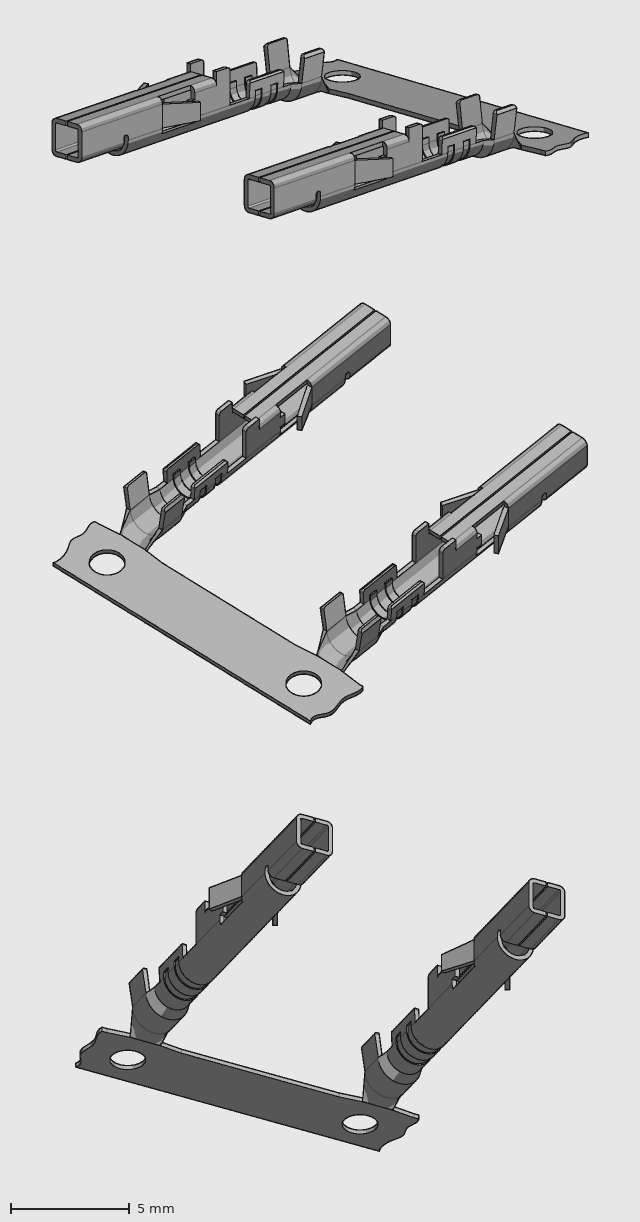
import cadquery as cq
import math

LENGTH = 18.6
SHEET = 0.2
PITCH = 11.0

STRIP_WIDTH = 3.01
PILOT_DIAMETER = 1.5
NECK_HALF_WIDTH = 0.73
SHOULDER_HALF_WIDTH = 1.77
SHOULDER_RISE = 0.11
STRIP_FRONT = LENGTH - STRIP_WIDTH
NECK_Y = STRIP_FRONT - SHOULDER_RISE
NECK_HALF_ANGLE = 4.0

LEFT_END = [
    (1.99, 0.0), (2.03, 0.28), (1.97, 0.54), (1.85, 1.02), (1.9, 1.47),
    (1.97, 1.85), (1.92, 2.18), (1.73, 2.45), (1.7, STRIP_WIDTH),
]
RIGHT_END = [
    (1.7, STRIP_WIDTH), (1.64, 2.45), (1.85, 1.88), (2.0, 1.49),
    (1.9, 0.85), (2.05, 0.22), (2.0, 0.0),
]

INSULATION_REAR = 14.71
INSULATION_FRONT = 13.48
INSULATION_RADIUS = 1.0
INSULATION_TOP = 2.29
INSULATION_FLARE = 0.17
INSULATION_BEVEL = 0.15

TROUGH_REAR = 12.98
TROUGH_FRONT = 2.88
TROUGH_RADIUS = 0.85
TROUGH_BASE = 0.2
TROUGH_AXIS_Z = TROUGH_BASE + TROUGH_RADIUS

WIRE_REAR = 12.52
WIRE_FRONT = 10.4
WIRE_TOP = 1.82
WIRE_FLARE = 0.04
WIRE_BEVEL = 0.07
WING_CORNER = 0.13
SERRATION_WIDTH = 0.4
SERRATION_PITCH = 0.97
SERRATION_DEPTH = 0.05
SERRATION_TOP = 1.32

BOX_REAR = 9.2
ROOF_REAR = 8.37
BOX_HALF_WIDTH = TROUGH_RADIUS
BOX_TOP = 2.42
BOX_FLOOR = 0.73
BOX_CORNER = 0.28
BOX_INNER_CORNER = BOX_CORNER - SHEET
SEAM_WIDTH = 0.07
EAR_TOP = 2.75
EAR_CORNER = 0.17
RELIEF_WIDTH = 0.28
RELIEF_TOP = 1.32
TIP_LENGTH = TROUGH_FRONT - RELIEF_WIDTH

WINDOW_REAR = 7.01
WINDOW_FRONT = 5.02
WINDOW_BOTTOM = 0.82
WINDOW_INNER_X = 0.6
STOP_LENGTH = 0.28
STOP_BOTTOM = 1.28
STOP_TOP = 1.85
TINE_BOTTOM = 1.08
TINE_TOP = 2.14
TINE_RUN = 1.5
TINE_SPREAD = 0.76
TINE_TAPER = 0.13


def box(x0, x1, y0, y1, z0, z1):
    return cq.Workplane("XY").box(x1 - x0, y1 - y0, z1 - z0, centered=False).translate((x0, y0, z0))


def section_plane(y):
    """Cross-section plane at y, with local X along X and local Y along Z."""
    return cq.Workplane(cq.Plane((0, y, 0), xDir=(1, 0, 0), normal=(0, -1, 0)))


def both_sides(half):
    """The given solid together with its mirror image across X = 0."""
    return half.union(half.mirror("YZ"))


def trough_outline(plane, base, radius, half_angle=90.0, sheet=SHEET):
    """Bent-sheet arc section, open at the top, with its lowest point at z = base."""
    inner = radius - sheet
    axis_z = base + radius
    sine = math.sin(math.radians(half_angle))
    cosine = math.cos(math.radians(half_angle))
    return (
        plane.moveTo(-radius * sine, axis_z - radius * cosine)
        .threePointArc((0, base), (radius * sine, axis_z - radius * cosine))
        .lineTo(inner * sine, axis_z - inner * cosine)
        .threePointArc((0, base + sheet), (-inner * sine, axis_z - inner * cosine))
        .close()
    )


def straight_trough(rear, front, base, radius, sheet=SHEET):
    return trough_outline(section_plane(rear), base, radius, sheet=sheet).extrude(rear - front)


def tapered_trough(rear, front, rear_shape, front_shape):
    rear_wire = trough_outline(section_plane(rear), *rear_shape).wire().val()
    front_wire = trough_outline(section_plane(front), *front_shape).wire().val()
    return cq.Workplane(cq.Solid.makeLoft([rear_wire, front_wire], True))


def carrier_strip():
    """Flat strip with wavy torn ends and a shallow shoulder at each terminal."""
    half_pitch = PITCH / 2
    outline = (
        cq.Workplane("XY")
        .moveTo(-half_pitch - LEFT_END[0][0], STRIP_FRONT + LEFT_END[0][1])
        .spline([(-half_pitch - x, STRIP_FRONT + y) for x, y in LEFT_END[1:]], includeCurrent=True)
        .lineTo(half_pitch + RIGHT_END[0][0], STRIP_FRONT + RIGHT_END[0][1])
        .spline([(half_pitch + x, STRIP_FRONT + y) for x, y in RIGHT_END[1:]], includeCurrent=True)
    )
    for centre in (half_pitch, -half_pitch):
        outline = (
            outline.lineTo(centre + SHOULDER_HALF_WIDTH, STRIP_FRONT)
            .lineTo(centre + NECK_HALF_WIDTH, NECK_Y)
            .lineTo(centre - NECK_HALF_WIDTH, NECK_Y)
            .lineTo(centre - SHOULDER_HALF_WIDTH, STRIP_FRONT)
        )
    strip = outline.close().extrude(SHEET)
    pilot_y = LENGTH - STRIP_WIDTH / 2
    pilots = (
        cq.Workplane("XY")
        .pushPoints([(-half_pitch, pilot_y), (half_pitch, pilot_y)])
        .circle(PILOT_DIAMETER / 2)
        .extrude(SHEET)
    )
    return strip.cut(pilots)


def crimp_wings(rear, front, radius, base_z, top, flare, bevel):
    """Pair of wings that lean outwards by flare, with a bevelled outer top edge."""
    outer = radius + flare
    wing = (
        section_plane(rear)
        .moveTo(radius - SHEET, base_z)
        .lineTo(radius, base_z)
        .lineTo(outer, top - bevel)
        .lineTo(outer - SHEET / 2, top)
        .lineTo(outer - SHEET, top)
        .close()
        .extrude(rear - front)
    )
    side_shape = box(0, outer, front, rear, base_z, top).edges("|X and >Z").fillet(WING_CORNER)
    return both_sides(wing.intersect(side_shape))


def serration(rear):
    """Band of the wire crimp that is pressed inwards: groove outside, rib inside."""
    front = rear - SERRATION_WIDTH
    inner_radius = TROUGH_RADIUS - SHEET
    rib_x = inner_radius - SERRATION_DEPTH
    groove_x = TROUGH_RADIUS - SERRATION_DEPTH
    rib_side = box(rib_x, inner_radius + WIRE_FLARE / 2, front, rear, TROUGH_AXIS_Z, SERRATION_TOP)
    groove_side = box(groove_x, TROUGH_RADIUS + WIRE_FLARE, front, rear, TROUGH_AXIS_Z, SERRATION_TOP)
    rib = straight_trough(rear, front, TROUGH_BASE + SHEET, inner_radius, SERRATION_DEPTH)
    rib = rib.union(both_sides(rib_side))
    groove = straight_trough(rear, front, TROUGH_BASE, TROUGH_RADIUS, SERRATION_DEPTH)
    groove = groove.union(both_sides(groove_side))
    return rib, groove


def socket_tube():
    """Square tube with seams along its roof and floor; behind the tip it opens into the trough."""
    outside = box(-BOX_HALF_WIDTH, BOX_HALF_WIDTH, 0, BOX_REAR, BOX_FLOOR, BOX_TOP)
    inside_half = BOX_HALF_WIDTH - SHEET
    inside = box(-inside_half, inside_half, 0, BOX_REAR, BOX_FLOOR + SHEET, BOX_TOP - SHEET)
    tube = outside.edges("|Y").fillet(BOX_CORNER).cut(inside.edges("|Y").fillet(BOX_INNER_CORNER))
    tube = tube.cut(box(-SEAM_WIDTH / 2, SEAM_WIDTH / 2, 0, BOX_REAR, BOX_FLOOR, BOX_TOP))
    tube = tube.cut(box(-BOX_HALF_WIDTH, BOX_HALF_WIDTH, TIP_LENGTH, BOX_REAR, BOX_FLOOR, TROUGH_AXIS_Z))
    return tube.cut(box(-BOX_HALF_WIDTH, BOX_HALF_WIDTH, ROOF_REAR, BOX_REAR, BOX_FLOOR, BOX_TOP))


def rear_ears():
    """Wall plates that stand above the roof line at the rear of the socket."""
    ear = box(BOX_HALF_WIDTH - SHEET, BOX_HALF_WIDTH, ROOF_REAR, BOX_REAR, TROUGH_AXIS_Z, EAR_TOP)
    return both_sides(ear.edges("|X and >Z and >Y").fillet(EAR_CORNER))


def relief_slots():
    """Round-topped slot through both side walls, between the trough and the tip."""
    radius = RELIEF_WIDTH / 2
    centre_y = TIP_LENGTH + radius
    slot = box(-BOX_HALF_WIDTH, BOX_HALF_WIDTH, TIP_LENGTH, TROUGH_FRONT, BOX_FLOOR, RELIEF_TOP - radius)
    crown = (
        cq.Workplane("YZ", origin=(-BOX_HALF_WIDTH, 0, 0))
        .center(centre_y, RELIEF_TOP - radius)
        .circle(radius)
        .extrude(2 * BOX_HALF_WIDTH)
    )
    return slot.union(crown)


def side_windows():
    """Cutters for the side openings, leaving a small stop on the rear edge of each."""
    window = box(WINDOW_INNER_X, BOX_HALF_WIDTH, WINDOW_FRONT, WINDOW_REAR, WINDOW_BOTTOM, BOX_TOP)
    stop = box(
        BOX_HALF_WIDTH - SHEET, BOX_HALF_WIDTH, WINDOW_REAR - STOP_LENGTH, WINDOW_REAR, STOP_BOTTOM, STOP_TOP
    )
    return both_sides(window.cut(stop))


def locking_tine(tapered):
    """Spring tine on the +X side, hinged at the front of its window and splayed outwards to the rear."""
    reach = math.hypot(TINE_RUN, TINE_SPREAD)
    along_x = TINE_SPREAD / reach
    along_y = TINE_RUN / reach
    hinge_x = BOX_HALF_WIDTH
    tip_x = hinge_x + TINE_SPREAD
    tip_y = WINDOW_FRONT + TINE_RUN
    blank = (
        cq.Workplane("XY", origin=(0, 0, TINE_BOTTOM))
        .moveTo(hinge_x, WINDOW_FRONT)
        .lineTo(tip_x, tip_y)
        .lineTo(tip_x - SHEET * along_y, tip_y + SHEET * along_x)
        .lineTo(hinge_x - SHEET, WINDOW_FRONT + SHEET * along_x)
        .lineTo(hinge_x - SHEET, WINDOW_FRONT)
        .close()
        .extrude(TINE_TOP - TINE_BOTTOM)
    )
    if not tapered:
        return blank
    end_y = tip_y + SHEET * along_x
    side_shape = (
        cq.Workplane("YZ")
        .moveTo(WINDOW_FRONT, TINE_BOTTOM)
        .lineTo(end_y, TINE_BOTTOM + TINE_TAPER)
        .lineTo(end_y, TINE_TOP - TINE_TAPER)
        .lineTo(WINDOW_FRONT, TINE_TOP)
        .close()
        .extrude(tip_x)
    )
    return blank.intersect(side_shape)


def terminal_body():
    """One crimp terminal centred on X = 0, without its locking tines."""
    insulation_shape = (0, INSULATION_RADIUS)
    neck_shape = (0, NECK_HALF_WIDTH / math.sin(math.radians(NECK_HALF_ANGLE)), NECK_HALF_ANGLE)
    trough_shape = (TROUGH_BASE, TROUGH_RADIUS)

    body = straight_trough(INSULATION_REAR, INSULATION_FRONT, *insulation_shape)
    body = body.union(tapered_trough(NECK_Y, INSULATION_REAR, neck_shape, insulation_shape))
    body = body.union(tapered_trough(INSULATION_FRONT, TROUGH_REAR, insulation_shape, trough_shape))
    body = body.union(straight_trough(TROUGH_REAR, TROUGH_FRONT, *trough_shape))
    body = body.union(crimp_wings(
        INSULATION_REAR, INSULATION_FRONT, INSULATION_RADIUS, INSULATION_RADIUS,
        INSULATION_TOP, INSULATION_FLARE, INSULATION_BEVEL,
    ))
    body = body.union(crimp_wings(
        WIRE_REAR, WIRE_FRONT, TROUGH_RADIUS, TROUGH_AXIS_Z, WIRE_TOP, WIRE_FLARE, WIRE_BEVEL
    ))

    crimp_middle = (WIRE_REAR + WIRE_FRONT) / 2
    for offset in (-SERRATION_PITCH / 2, SERRATION_PITCH / 2):
        rib, groove = serration(crimp_middle + offset + SERRATION_WIDTH / 2)
        body = body.union(rib).cut(groove)

    body = body.union(socket_tube()).union(rear_ears())
    return body.cut(relief_slots()).cut(side_windows())


plain_body = terminal_body()
tapered_tine = locking_tine(True)
straight_tine = locking_tine(False)

left_terminal = plain_body.union(tapered_tine).union(straight_tine.mirror("YZ"))
right_terminal = plain_body.union(both_sides(tapered_tine))

result = (
    carrier_strip()
    .union(left_terminal.translate((-PITCH / 2, 0, 0)))
    .union(right_terminal.translate((PITCH / 2, 0, 0)))
    .solids()
)